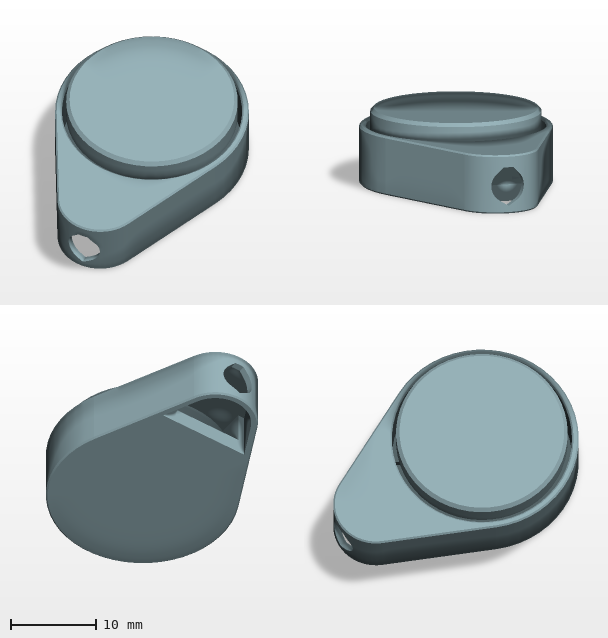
import cadquery as cq
import math

length = 31.33
housing_radius = 11.37
tip_radius = 5.0
tip_y = housing_radius + tip_radius - length
housing_height = 7.0
edge_chamfer = 0.2

pocket_radius = 21.15 / 2
wall = housing_radius - pocket_radius
floor_height = 1.0

cap_radius = 20.15 / 2
cap_bottom = 5.25
cap_top = 9.0
cap_top_chamfer = 0.4
cap_bottom_chamfer = 0.97

cavity_height = 5.98
cavity_back_y = -12.53
sill_height = 1.97
passage_width = 9.9

rib_width = 0.85
rib_angle = 31.0
rib_inner_radius = cap_radius - cap_bottom_chamfer

hole_radius = 2.0
hole_height = 3.3
hole_roof = 2.25
hole_point = 2.35


def teardrop(inset, height):
    """Prism around two circles joined by their common tangents, shrunk by inset."""
    big = housing_radius - inset
    small = tip_radius - inset
    tilt = math.asin((big - small) / -tip_y)
    across = math.cos(tilt)
    down = math.sin(tilt)
    return (
        cq.Workplane("XY")
        .moveTo(big * across, -big * down)
        .threePointArc((0, big), (-big * across, -big * down))
        .lineTo(-small * across, tip_y - small * down)
        .threePointArc((0, tip_y - small), (small * across, tip_y - small * down))
        .close()
        .extrude(height)
    )


def pocket():
    """Round pocket with a chamfered rim."""
    rim_bottom = housing_height - edge_chamfer
    return (
        cq.Workplane("XZ")
        .moveTo(0, floor_height)
        .lineTo(pocket_radius, floor_height)
        .lineTo(pocket_radius, rim_bottom)
        .lineTo(pocket_radius + edge_chamfer, housing_height)
        .lineTo(0, housing_height)
        .close()
        .revolve(360, (0, 0), (0, 1))
    )


def tip_cavity():
    """Hollow of the tip, cut off flat on the pocket side."""
    tip_side = cq.Workplane("XY").box(
        2 * housing_radius, length, cavity_height, centered=(True, False, False)
    ).translate((0, cavity_back_y - length, 0))
    return teardrop(wall, cavity_height).intersect(tip_side)


def passage():
    """Opening from the tip cavity into the pocket, above the sill."""
    return cq.Workplane("XY").box(
        passage_width, -cavity_back_y, cavity_height - sill_height, centered=(True, False, False)
    ).translate((0, cavity_back_y, sill_height))


def cord_hole():
    """Prism along Y whose sloping sides are tangent to the hole circle."""
    diagonal = hole_radius * math.sqrt(0.5)
    roof_half_width = 2 * diagonal - hole_roof
    low_z = -hole_radius ** 2 / hole_point
    low_x = math.sqrt(hole_radius ** 2 - low_z ** 2)
    return (
        cq.Workplane("XZ", origin=(0, tip_y, hole_height))
        .moveTo(roof_half_width, hole_roof)
        .lineTo(diagonal, diagonal)
        .threePointArc((hole_radius, 0), (low_x, low_z))
        .lineTo(0, -hole_point)
        .lineTo(-low_x, low_z)
        .threePointArc((-hole_radius, 0), (-diagonal, diagonal))
        .lineTo(-roof_half_width, hole_roof)
        .close()
        .extrude(tip_radius)
    )


def stop_rib(angle):
    """Low radial rib that grows inward from the pocket wall, at an angle from -Y."""
    return cq.Workplane("XY").box(
        rib_width, pocket_radius + wall / 2 - rib_inner_radius, sill_height, centered=(True, False, False)
    ).translate((0, -pocket_radius - wall / 2, 0)).rotate((0, 0, 0), (0, 0, 1), angle)


def make_housing():
    body = teardrop(0, housing_height).faces("<Z or >Z").edges().chamfer(edge_chamfer)
    body = body.cut(pocket())
    body = body.cut(tip_cavity())
    body = body.cut(passage())
    body = body.cut(cord_hole())
    for angle in (-rib_angle, rib_angle):
        body = body.union(stop_rib(angle))
    return body


def make_cap():
    return (
        cq.Workplane("XY").workplane(offset=cap_bottom)
        .circle(cap_radius).extrude(cap_top - cap_bottom)
        .faces(">Z").edges().chamfer(cap_top_chamfer)
        .faces("<Z").edges().chamfer(cap_bottom_chamfer)
    )


housing = make_housing()
cap = make_cap()

result = cq.Compound.makeCompound([housing.solids().val(), cap.solids().val()])